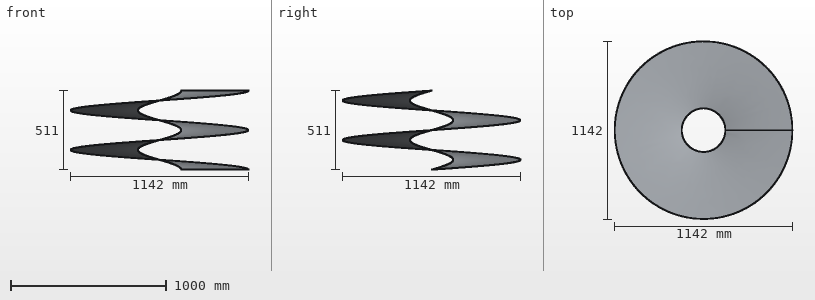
import cadquery as cq

outer_radius = 571.0
inner_radius = 140.0
turns = 2
total_height = 511.0
blade_thickness = 3.0

rise = total_height - blade_thickness
pitch = rise / turns
blade_width = outer_radius - inner_radius


def blade_section():
    """Radial rectangle on the +X side, with its lower edge on Z = 0."""
    return cq.Workplane("XZ").moveTo(inner_radius, 0).rect(blade_width, blade_thickness, centered=False)


def wind_blade():
    """Sweep the section up the inner helix, keeping it radial and upright."""
    helix = cq.Wire.makeHelix(pitch, rise, inner_radius)
    return blade_section().sweep(cq.Workplane(obj=helix), isFrenet=True)


result = wind_blade()